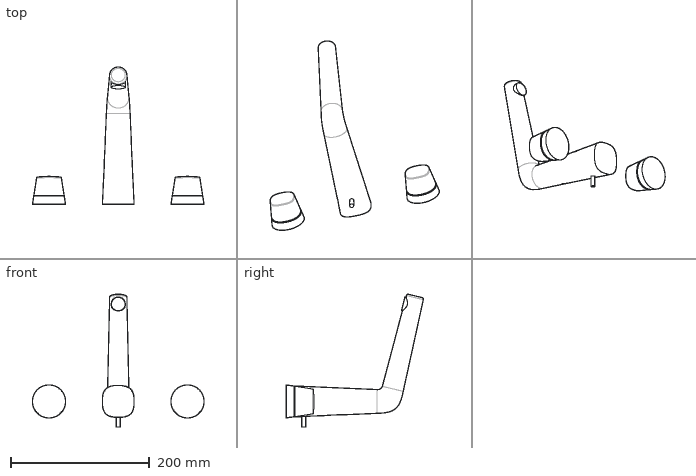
import cadquery as cq
import math


SQUARENESS = 2.8
SECTION_POINTS = 32

ELBOW_STEPS = 6

spout_base_half_width = 23.0
elbow_start_y = 131.0
elbow_start_radius = 17.4
elbow_extra_depth = 1.7
elbow_shift = 1.7
elbow_end_radius = 15.5
bend_radius = 23.8
bend_angle = 76.4
tube_length = 138.1
tube_tip_radius = 12.6
tip_fillet = 2.7

nozzle_radius = 10.2
nozzle_setback = 15.5
nozzle_reach = 14.5

pin_radius = 3.0
pin_y = 25.5
pin_top_z = -15.0
pin_bottom_z = -37.0

handle_spacing = 200.0
handle_base_radius = 24.0
handle_end_half_width = 17.5
handle_length = 40.7
knob_dome_radius = 124.0
knob_fillet = 1.2
joint_start_y = 11.7
joint_width = 1.2
joint_depth = 0.7


joint_end_y = joint_start_y + joint_width


def bend_plane(angle):
    """Plane square to the centre line of the elbow after turning by the angle, from +Y up to +Z."""
    turn = math.radians(angle)
    centre = (0, elbow_start_y + bend_radius * math.sin(turn), bend_radius * (1 - math.cos(turn)))
    return cq.Plane(
        origin=centre,
        xDir=(0, -math.sin(turn), math.cos(turn)),
        normal=(0, math.cos(turn), math.sin(turn)),
    )


tube_plane = bend_plane(bend_angle)


def plane_at(y):
    """Plane square to Y, facing +Y, with its local x along +Z, where every section starts."""
    return cq.Plane(origin=(0, y, 0), xDir=(0, 0, 1), normal=(0, 1, 0))


def circle(plane, radius):
    return cq.Workplane(plane).circle(radius).wire().val()


def rounded_square(plane, half_width):
    """Closed superellipse outline, with bowed sides and round corners."""
    points = []
    for step in range(SECTION_POINTS):
        angle = 2 * math.pi * step / SECTION_POINTS
        u, v = math.cos(angle), math.sin(angle)
        reach = half_width / (abs(u) ** SQUARENESS + abs(v) ** SQUARENESS) ** (1 / SQUARENESS)
        points.append((reach * u, reach * v))
    return cq.Workplane(plane).spline(points, periodic=True).wire().val()


def cylinder(radius, start, end):
    return cq.Workplane(cq.Solid.makeCylinder(radius, (end - start).Length, start, end - start))


def make_nozzle():
    start = tube_plane.toWorldCoords((0, 0, tube_length - nozzle_setback))
    end = tube_plane.toWorldCoords((nozzle_reach, 0, tube_length - nozzle_setback))
    return cylinder(nozzle_radius, start, end)


def make_pin():
    return cylinder(pin_radius, cq.Vector(0, pin_y, pin_top_z), cq.Vector(0, pin_y, pin_bottom_z))


def make_elbow():
    """Lofted bend, deeper at its middle, which is also shifted towards the outside of the bend."""
    sections = []
    for step in range(ELBOW_STEPS + 1):
        progress = step / ELBOW_STEPS
        swell = math.sin(math.pi * progress) ** 2
        half_width = elbow_start_radius + (elbow_end_radius - elbow_start_radius) * progress
        half_depth = half_width + elbow_extra_depth * swell
        outline = cq.Workplane(bend_plane(bend_angle * progress)).center(-elbow_shift * swell, 0)
        sections.append(outline.ellipse(half_depth, half_width).wire().val())
    return cq.Workplane(cq.Solid.makeLoft(sections))


def make_tube():
    start, direction = tube_plane.origin, tube_plane.zDir
    cone = cq.Solid.makeCone(elbow_end_radius, tube_tip_radius, tube_length, start, direction)
    tip = cq.Workplane(cone).faces(cq.selectors.DirectionMinMaxSelector(direction))
    return tip.edges().fillet(tip_fillet)


def make_spout(nozzle, pin):
    body = cq.Workplane(
        cq.Solid.makeLoft(
            [
                rounded_square(plane_at(0), spout_base_half_width),
                circle(plane_at(elbow_start_y), elbow_start_radius),
            ]
        )
    )
    return body.union(make_elbow()).union(make_tube()).cut(nozzle).cut(pin)


def handle_slice(y_start, y_end, inset=0.0):
    """Part of the handle taper from one Y to another, optionally set in from its surface."""
    taper = cq.Solid.makeLoft(
        [
            circle(plane_at(0), handle_base_radius - inset),
            rounded_square(plane_at(handle_length), handle_end_half_width - inset),
        ]
    )
    slab_size = 3 * handle_base_radius
    slab = cq.Workplane(plane_at(y_start)).rect(slab_size, slab_size).extrude(y_end - y_start)
    return cq.Workplane(taper).intersect(slab)


def make_handle_base():
    return handle_slice(0, joint_start_y)


def make_knob():
    """Knob with a domed end, and a short neck that leaves a fine groove in front of the base."""
    dome = cq.Workplane("XY").sphere(knob_dome_radius).translate((0, handle_length - knob_dome_radius, 0))
    knob = handle_slice(joint_end_y, handle_length).intersect(dome)
    knob = knob.faces(">Y").edges().fillet(knob_fillet)
    return knob.union(handle_slice(joint_start_y, joint_end_y, joint_depth))


nozzle = make_nozzle()
pin = make_pin()
spout = make_spout(nozzle, pin)

handle_bases = []
knobs = []
for side in (-1, 1):
    place = (side * handle_spacing / 2, 0, 0)
    handle_bases.append(make_handle_base().translate(place).val())
    knobs.append(make_knob().translate(place).val())

result = cq.Compound.makeCompound([spout.val(), nozzle.val(), pin.val(), *handle_bases, *knobs])